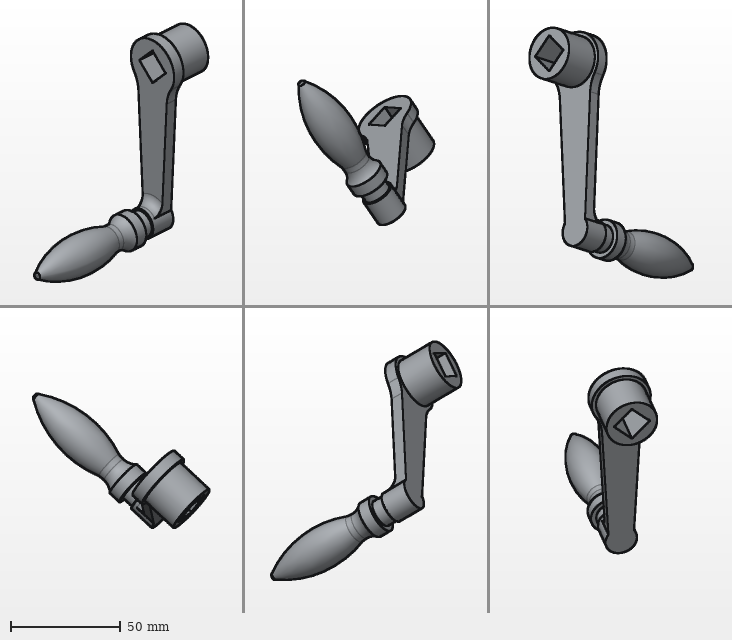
import cadquery as cq
import math

overall_height = 104.0
overall_depth = 99.0

head_diameter = 28.0
arm_thickness = 6.0
arm_width_at_head = 20.0
arm_width_at_handle = 11.7
head_blend_radius = 18.0

hub_diameter = 24.0
hub_length = 18.0
square_side = 12.0

boss_radius = 7.5
boss_length = 13.0
boss_fillet_radius = 4.7

neck_radius = 6.5
neck_length = 6.0
collar_radius = 9.0
collar_length = 6.0
throat_length = 6.0
bulb_blend_length = 3.0
bulb_start_radius = 6.8
bulb_radius = 10.0
tip_radius = 1.8
tip_round = 0.7

handle_end = overall_depth - hub_length
handle_z = -(overall_height - head_diameter / 2 - bulb_radius)


def cylinder(radius, y_start, y_end, z=0.0):
    """Cylinder along Y between two Y positions."""
    base = cq.Workplane("XZ", origin=(0, y_start, z))
    return base.circle(radius).extrude(y_start - y_end)


def tapered_bar(length):
    """Straight tapered bar from the head axis to the handle axis."""
    half_top = arm_width_at_head / 2
    half_bottom = arm_width_at_handle / 2
    outline = [
        (-half_top, 0),
        (half_top, 0),
        (half_bottom, handle_z),
        (-half_bottom, handle_z),
    ]
    return cq.Workplane("XZ").polyline(outline).close().extrude(length)


def crank_arm():
    """Round head blended into the tapered bar."""
    arm = cylinder(head_diameter / 2, 0, -arm_thickness).union(tapered_bar(arm_thickness))
    corner_z = -head_diameter / 2
    corners = cq.selectors.BoxSelector(
        (-head_diameter, -arm_thickness, corner_z),
        (head_diameter, 0, -1),
    )
    return arm.edges("|Y").edges(corners).fillet(head_blend_radius)


def revolve_about_handle(profile):
    """Turn a closed (radius, y) profile about the handle axis."""
    return profile.close().revolve(360, (0, 0, 0), (0, 1, 0))


def boss_fillet():
    """Concave ring between boss and arm, trimmed to the sides of the arm."""
    face_y = -arm_thickness
    end_y = face_y - boss_fillet_radius
    outer = boss_radius + boss_fillet_radius
    arc_offset = boss_fillet_radius * (1 - math.sqrt(0.5))
    ring = revolve_about_handle(
        cq.Workplane("XY", origin=(0, 0, handle_z))
        .moveTo(0, face_y)
        .lineTo(outer, face_y)
        .threePointArc((boss_radius + arc_offset, face_y - arc_offset), (boss_radius, end_y))
        .lineTo(0, end_y)
    )
    return ring.intersect(tapered_bar(boss_length))


def handle():
    """Neck, collar, concave throat and pointed bulb turned in one piece."""
    collar_start = boss_length + neck_length
    collar_end = collar_start + collar_length
    throat = collar_end + throat_length
    bulb_start = throat + bulb_blend_length
    bulb_end = handle_end - tip_round
    start_drop = bulb_radius - bulb_start_radius
    end_drop = bulb_radius - tip_radius
    drop_ratio = math.sqrt(start_drop / end_drop)
    crest = bulb_start + (bulb_end - bulb_start) * drop_ratio / (1 + drop_ratio)

    return revolve_about_handle(
        cq.Workplane("XY", origin=(0, 0, handle_z))
        .moveTo(0, -boss_length)
        .lineTo(neck_radius, -boss_length)
        .lineTo(neck_radius, -collar_start)
        .lineTo(collar_radius, -collar_start)
        .lineTo(collar_radius, -collar_end)
        .radiusArc((neck_radius, -throat), throat_arc_radius())
        .tangentArcPoint((bulb_start_radius, -bulb_start), relative=False)
        .threePointArc((bulb_radius, -crest), (tip_radius, -bulb_end))
        .radiusArc((tip_radius - tip_round, -handle_end), tip_round)
        .lineTo(0, -handle_end)
    )


def throat_arc_radius():
    """Radius of the arc from the collar edge that ends parallel to the handle axis."""
    drop = collar_radius - neck_radius
    return -(throat_length**2 + drop**2) / (2 * drop)


square_hole = (
    cq.Workplane("XZ", origin=(0, hub_length, 0))
    .transformed(rotate=(0, 0, 45))
    .rect(square_side, square_side)
    .extrude(hub_length + arm_thickness)
)

result = (
    crank_arm()
    .union(cylinder(hub_diameter / 2, hub_length, 0))
    .union(cylinder(boss_radius, 0, -boss_length, handle_z))
    .union(boss_fillet())
    .union(handle())
    .cut(square_hole)
)